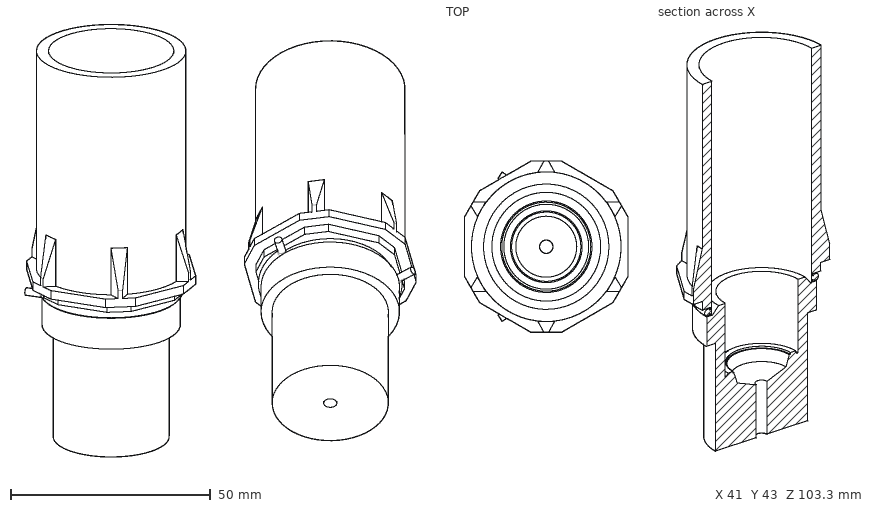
import cadquery as cq
import math

TOTAL_HEIGHT = 103.3
LOWER_TUBE_TOP = 30.0
COLLAR_HEIGHT = 8.3
GROOVE_WIDTH = 2.2
SMALL_PLATE_THICKNESS = 2.4
FLANGE_THICKNESS = 2.3

collar_top = LOWER_TUBE_TOP + COLLAR_HEIGHT
groove_top = collar_top + GROOVE_WIDTH
flange_bottom = groove_top + SMALL_PLATE_THICKNESS
flange_top = flange_bottom + FLANGE_THICKNESS

LOWER_TUBE_DIAMETER = 29.1
COLLAR_DIAMETER = 34.7
GROOVE_DIAMETER = 32.2
UPPER_TUBE_DIAMETER = 37.5

lower_tube_radius = LOWER_TUBE_DIAMETER / 2
collar_radius = COLLAR_DIAMETER / 2
groove_radius = GROOVE_DIAMETER / 2
upper_tube_radius = UPPER_TUBE_DIAMETER / 2

FLANGE_WIDTH_X = 41.0
FLANGE_WIDTH_Y = 43.0
SMALL_PLATE_WIDTH_X = 35.3
SMALL_PLATE_WIDTH_Y = 37.3

RIB_COUNT = 6
RIB_HEIGHT = 12.5
RIB_FOOT_HEIGHT = 2.2
RIB_INNER_WIDTH = 4.1
RIB_OUTER_WIDTH = 1.1
RIB_ROOT_DEPTH = 1.0

WIRE_RADIUS = 0.98
WIRE_RING_RADIUS = 17.0
WIRE_END_ANGLE = 116.0
WIRE_BEND_RADIUS = 1.2
STUB_LENGTH = 4.9
STUB_ANGLE = 148.0

UPPER_BORE_RADIUS = 15.7
WIDE_RIM_RADIUS = 13.6
WIDE_RIM_CHAMFER_HEIGHT = 2.3
WIDE_RIM_TOP = 40.3
LOWER_BORE_RADIUS = 11.5
INSERT_RADIUS = 11.2
NARROW_RIM_RADIUS = 10.6
NARROW_RIM_CHAMFER_HEIGHT = 0.8
NARROW_RIM_TOP = 20.7
CUP_MOUTH_RADIUS = 9.0
CUP_MOUTH_DEPTH = 0.5
CUP_TOP_RADIUS = 8.7
CUP_BOTTOM_RADIUS = 7.6
CUP_DEPTH = 3.1
FUNNEL_DEPTH = 2.3
OUTLET_RADIUS = 1.7

cup_top = NARROW_RIM_TOP - CUP_MOUTH_DEPTH
cup_bottom = cup_top - CUP_DEPTH


def turned_body():
    """Tubes, collar and groove floor, with the stepped bore through the middle."""
    outline = [
        (OUTLET_RADIUS, 0),
        (lower_tube_radius, 0),
        (lower_tube_radius, LOWER_TUBE_TOP),
        (collar_radius, LOWER_TUBE_TOP),
        (collar_radius, collar_top),
        (groove_radius, collar_top),
        (groove_radius, flange_bottom),
        (upper_tube_radius, flange_bottom),
        (upper_tube_radius, TOTAL_HEIGHT),
        (UPPER_BORE_RADIUS, TOTAL_HEIGHT),
        (UPPER_BORE_RADIUS, WIDE_RIM_TOP - WIDE_RIM_CHAMFER_HEIGHT),
        (WIDE_RIM_RADIUS, WIDE_RIM_TOP),
        (LOWER_BORE_RADIUS, WIDE_RIM_TOP),
        (LOWER_BORE_RADIUS, NARROW_RIM_TOP - NARROW_RIM_CHAMFER_HEIGHT),
        (INSERT_RADIUS, NARROW_RIM_TOP - NARROW_RIM_CHAMFER_HEIGHT),
        (NARROW_RIM_RADIUS, NARROW_RIM_TOP),
        (CUP_MOUTH_RADIUS, NARROW_RIM_TOP),
        (CUP_MOUTH_RADIUS, cup_top),
        (CUP_TOP_RADIUS, cup_top),
        (CUP_BOTTOM_RADIUS, cup_bottom),
        (OUTLET_RADIUS, cup_bottom - FUNNEL_DEPTH),
    ]
    return cq.Workplane("XZ").polyline(outline).close().revolve(360, (0, 0, 0), (0, 1, 0))


def hexagon(width, thickness):
    """Hexagonal plate with two flats facing +X and -X."""
    across_corners = width / math.cos(math.radians(30))
    return (
        cq.Workplane("XY")
        .polygon(6, across_corners)
        .extrude(thickness)
        .rotate((0, 0, 0), (0, 0, 1), 30)
    )


def twelve_sided_ring(width_x, width_y, bottom, thickness):
    """Two crossed hexagons of different widths, bored to fit the upper bore."""
    plate = hexagon(width_x, thickness).intersect(
        hexagon(width_y, thickness).rotate((0, 0, 0), (0, 0, 1), 30)
    )
    plate = plate.cut(cq.Workplane("XY").circle(UPPER_BORE_RADIUS).extrude(thickness))
    return plate.translate((0, 0, bottom))


def rib():
    """Rib on the +X side: narrows outwards in plan and slopes down above its foot."""
    outer = FLANGE_WIDTH_Y / 2
    inner = upper_tube_radius - RIB_ROOT_DEPTH
    plan = (
        cq.Workplane("XY")
        .workplane(offset=flange_top)
        .polyline([
            (inner, -RIB_INNER_WIDTH / 2),
            (upper_tube_radius, -RIB_INNER_WIDTH / 2),
            (outer, -RIB_OUTER_WIDTH / 2),
            (outer, RIB_OUTER_WIDTH / 2),
            (upper_tube_radius, RIB_INNER_WIDTH / 2),
            (inner, RIB_INNER_WIDTH / 2),
        ])
        .close()
        .extrude(RIB_HEIGHT)
    )
    side = (
        cq.Workplane("XZ")
        .polyline([
            (inner, flange_top),
            (outer, flange_top),
            (outer, flange_top + RIB_FOOT_HEIGHT),
            (upper_tube_radius, flange_top + RIB_HEIGHT),
            (inner, flange_top + RIB_HEIGHT),
        ])
        .close()
        .extrude(RIB_INNER_WIDTH / 2, both=True)
    )
    return plan.intersect(side)


def polar_point(radius, angle):
    """Point in the XY plane at a radius and an angle in degrees."""
    return (radius * math.cos(math.radians(angle)), radius * math.sin(math.radians(angle)))


def retaining_wire():
    """Round wire around the +X side of the groove, each end bent outwards."""
    bend_x, bend_y = polar_point(WIRE_RING_RADIUS, WIRE_END_ANGLE)
    stub_x, stub_y = polar_point(STUB_LENGTH, STUB_ANGLE)
    end_x = bend_x + stub_x
    end_y = bend_y + stub_y
    centreline = (
        cq.Workplane("XY")
        .moveTo(end_x, end_y)
        .lineTo(bend_x, bend_y)
        .threePointArc((WIRE_RING_RADIUS, 0), (bend_x, -bend_y))
        .lineTo(end_x, -end_y)
        .wire()
        .val()
    )
    bends = [vertex for vertex in centreline.Vertices() if vertex.X > end_x + STUB_LENGTH / 2]
    path = centreline.fillet2D(WIRE_BEND_RADIUS, bends)
    end_plane = cq.Plane(origin=(end_x, end_y, 0), xDir=(0, 0, 1), normal=(-stub_x, -stub_y, 0))
    wire = cq.Workplane(end_plane).circle(WIRE_RADIUS).sweep(path)
    return wire.translate((0, 0, (collar_top + groove_top) / 2))


result = turned_body()
result = result.union(
    twelve_sided_ring(FLANGE_WIDTH_X, FLANGE_WIDTH_Y, flange_bottom, FLANGE_THICKNESS)
)
result = result.union(
    twelve_sided_ring(SMALL_PLATE_WIDTH_X, SMALL_PLATE_WIDTH_Y, groove_top, SMALL_PLATE_THICKNESS)
)
for index in range(RIB_COUNT):
    rib_angle = 30 + index * 360 / RIB_COUNT
    result = result.union(rib().rotate((0, 0, 0), (0, 0, 1), rib_angle))
result = result.union(retaining_wire())